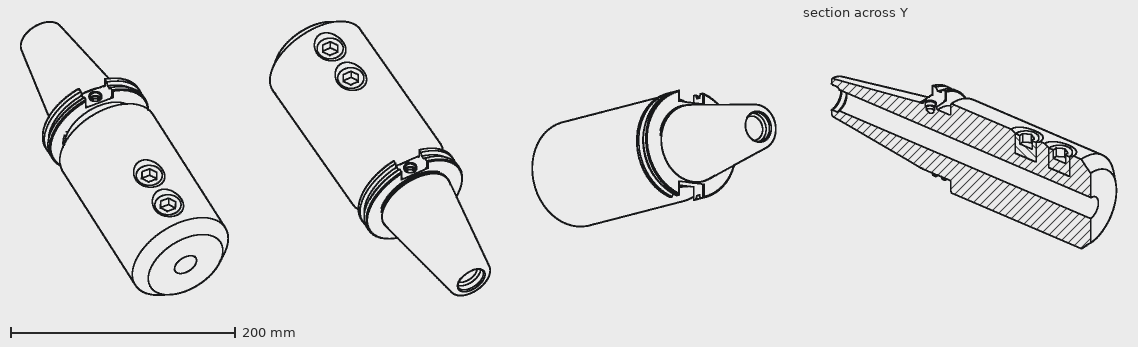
import cadquery as cq
import math


total_length = 295.3
gauge_x = 101.5
flange_start = 104.2
flange_end = 120.2
barrel_start = 135.8

gauge_diameter = 70.0
relief_diameter = 69.5
flange_diameter = 98.3
neck_diameter = 70.0
barrel_diameter = 95.5
taper_slope = 7 / 48

small_end_blend = 2.7
relief_fillet = 0.5
neck_fillet = 1.2
flange_chamfer = 1.0
barrel_back_fillet = 1.8
barrel_nose_chamfer = 10.5

groove_center = 112.5
groove_floor_width = 3.5
groove_depth = 3.2
groove_half_angle = 30

bore_diameter = 21.8
pilot_diameter = 26.3
pilot_depth = 6.8
pilot_step_half_angle = 45
pilot_mouth_depth = 1.5
pilot_mouth_half_angle = 30

slot_width = 25.7
slot_fillet = 1.0
slot_mouth_chamfer = 1.0
top_slot_floor = 37.5
bottom_slot_floor = 35.0

pocket_x = 112.2
pocket_diameter = 10.0
pocket_depth = 4.7
pocket_mouth_chamfer = 0.75
drill_diameter = 8.0
drill_depth = 7.7
drill_tip_angle = 118

screw_diameter = 23.3
screw_positions = (221.5, 259.5)
screw_top = 45.0
screw_length = 20.7
socket_flats = 13.3
socket_depth = 9.0
countersink_half_angle = 60


def turned_body():
    """Revolved outline of taper, relief, grooved flange, neck and barrel."""
    small_end_radius = gauge_diameter / 2 - gauge_x * taper_slope
    taper_angle = math.atan(taper_slope)
    relief_radius = relief_diameter / 2
    flange_radius = flange_diameter / 2
    neck_radius = neck_diameter / 2
    barrel_radius = barrel_diameter / 2
    groove_radius = flange_radius - groove_depth
    floor_half = groove_floor_width / 2
    mouth_half = floor_half + groove_depth * math.tan(math.radians(groove_half_angle))
    outline = (
        cq.Workplane("XY")
        .lineTo(0, small_end_radius - small_end_blend)
        .tangentArcPoint(
            (
                small_end_blend * math.cos(taper_angle),
                small_end_radius + small_end_blend * math.sin(taper_angle),
            ),
            relative=False,
        )
        .lineTo(gauge_x, gauge_diameter / 2)
        .lineTo(gauge_x, relief_radius)
        .lineTo(flange_start - relief_fillet, relief_radius)
        .tangentArcPoint((flange_start, relief_radius + relief_fillet), relative=False)
        .lineTo(flange_start, flange_radius - flange_chamfer)
        .lineTo(flange_start + flange_chamfer, flange_radius)
        .lineTo(groove_center - mouth_half, flange_radius)
        .lineTo(groove_center - floor_half, groove_radius)
        .lineTo(groove_center + floor_half, groove_radius)
        .lineTo(groove_center + mouth_half, flange_radius)
        .lineTo(flange_end - flange_chamfer, flange_radius)
        .lineTo(flange_end, flange_radius - flange_chamfer)
        .lineTo(flange_end, neck_radius + neck_fillet)
        .tangentArcPoint((flange_end + neck_fillet, neck_radius), relative=False)
        .lineTo(barrel_start - neck_fillet, neck_radius)
        .tangentArcPoint((barrel_start, neck_radius + neck_fillet), relative=False)
        .lineTo(barrel_start, barrel_radius - barrel_back_fillet)
        .tangentArcPoint((barrel_start + barrel_back_fillet, barrel_radius), relative=False)
        .lineTo(total_length - barrel_nose_chamfer, barrel_radius)
        .lineTo(total_length, barrel_radius - barrel_nose_chamfer)
        .lineTo(total_length, 0)
        .close()
    )
    return outline.revolve(360, (0, 0, 0), (1, 0, 0))


def stepped_bore():
    """Through bore with a wider, chamfered pilot and a conical step at the small end."""
    bore_radius = bore_diameter / 2
    pilot_radius = pilot_diameter / 2
    mouth_radius = pilot_radius + pilot_mouth_depth * math.tan(math.radians(pilot_mouth_half_angle))
    step_length = (pilot_radius - bore_radius) / math.tan(math.radians(pilot_step_half_angle))
    half_section = (
        cq.Workplane("XY")
        .lineTo(0, mouth_radius)
        .lineTo(pilot_mouth_depth, pilot_radius)
        .lineTo(pilot_depth, pilot_radius)
        .lineTo(pilot_depth + step_length, bore_radius)
        .lineTo(total_length, bore_radius)
        .lineTo(total_length, 0)
        .close()
    )
    return half_section.revolve(360, (0, 0, 0), (1, 0, 0))


def drive_slot(floor, side):
    """Slot across the flange, outward from its floor; side is 1 for +Z and -1 for -Z."""
    height = flange_diameter / 2 - floor
    center_x = (flange_start + flange_end) / 2
    block = cq.Workplane("XY").box(flange_end - flange_start, slot_width, height)
    floor_edges = block.faces("<Z" if side > 0 else ">Z").edges("|X")
    slot = floor_edges.fillet(slot_fillet).translate((center_x, 0, side * (floor + height / 2)))
    narrow = slot_width / 2
    wide = narrow + slot_mouth_chamfer
    for face_x, inward in ((flange_start, 1), (flange_end, -1)):
        inner_x = face_x + inward * slot_mouth_chamfer
        mouth = (
            cq.Workplane("XY")
            .polyline([(face_x, -wide), (face_x, wide), (inner_x, narrow), (inner_x, -narrow)])
            .close()
            .extrude(side * height)
            .translate((0, 0, side * floor))
        )
        slot = slot.union(mouth)
    return slot


def slot_pocket():
    """Chamfered pocket with a smaller drilled hole, sunk into the upper slot floor."""
    pocket_radius = pocket_diameter / 2
    drill_radius = drill_diameter / 2
    tip_height = drill_radius / math.tan(math.radians(drill_tip_angle / 2))
    half_section = (
        cq.Workplane("XZ")
        .lineTo(pocket_radius + pocket_mouth_chamfer, 0)
        .lineTo(pocket_radius, -pocket_mouth_chamfer)
        .lineTo(pocket_radius, -pocket_depth)
        .lineTo(drill_radius, -pocket_depth)
        .lineTo(drill_radius, -drill_depth)
        .lineTo(0, -drill_depth - tip_height)
        .close()
    )
    return half_section.revolve(360, (0, 0, 0), (0, 1, 0)).translate((pocket_x, 0, top_slot_floor))


def screw_hole(x):
    """Blind hole for one screw, opening through a countersink in the barrel surface."""
    radius = screw_diameter / 2
    sink_height = barrel_diameter / 2 - screw_top
    sink_radius = radius + sink_height * math.tan(math.radians(countersink_half_angle))
    half_section = (
        cq.Workplane("XZ")
        .moveTo(0, -screw_length)
        .lineTo(radius, -screw_length)
        .lineTo(radius, 0)
        .lineTo(sink_radius, sink_height)
        .lineTo(0, sink_height)
        .close()
    )
    return half_section.revolve(360, (0, 0, 0), (0, 1, 0)).translate((x, 0, screw_top))


def clamping_screw(x):
    """Headless screw with a hexagon socket whose corners point along Y."""
    socket_corners = socket_flats / math.cos(math.radians(30))
    shank = cq.Workplane("XY").circle(screw_diameter / 2).extrude(-screw_length)
    socket = (
        cq.Workplane("XY")
        .transformed(rotate=(0, 0, 90))
        .polygon(6, socket_corners)
        .extrude(-socket_depth)
    )
    return shank.cut(socket).translate((x, 0, screw_top))


def make_housing():
    """Turned body with bore, drive slots, slot pocket and screw holes."""
    body = turned_body().cut(stepped_bore())
    body = body.cut(drive_slot(top_slot_floor, 1))
    body = body.cut(drive_slot(bottom_slot_floor, -1))
    body = body.cut(slot_pocket())
    for x in screw_positions:
        body = body.cut(screw_hole(x))
    return body


housing = make_housing()
screws = [clamping_screw(x) for x in screw_positions]

result = cq.Compound.makeCompound([housing.val(), *[screw.val() for screw in screws]])